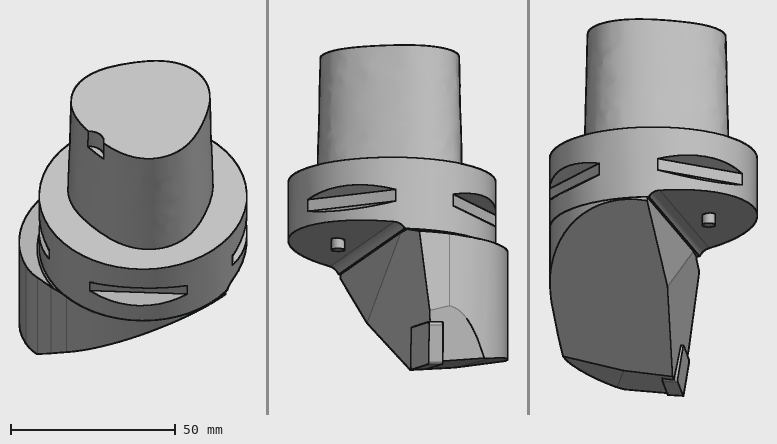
import cadquery as cq
import math

FLANGE_RADIUS = 31.5
FLANGE_BOTTOM = -22.1

SHANK_LENGTH = 38.0
SHANK_BASE_RADIUS = 21.7
SHANK_TAPER = 1 / 40
SHANK_LOBE = 1.4
SHANK_POINTS = 36

NOTCH_RADIUS = 4.3
NOTCH_DEPTH = 1.9
NOTCH_HEIGHT = 6.5

GROOVE_Z = -11.8
GROOVE_FLOOR_DISTANCE = 27.8
GROOVE_FLOOR_HALF_WIDTH = 1.8
GROOVE_FLANK_SLOPE = 0.54
GROOVE_ANGLES = (45, 135, 225, 315)

HEAD_LEFT = -38.4
HEAD_FRONT = -31.7
HEAD_BACK = 6.0
HEAD_RIGHT_RADIUS = 31.4
HEAD_CORNER_START = -5.0
HEAD_CORNER_MIDDLE = (-30.1, -23.4)
HEAD_CORNER_END = (-19.4, -30.5)
HEAD_FLAT_START = -12.9
HEAD_FLAT_END = -6.7
HEAD_DEPTH = 68
COLLAR_RADIUS = 32.1
COLLAR_BOTTOM = -22.7
SHOULDER_SLOPE = 0.3

RELIEF_EDGE_Z = -18.1
RELIEF_SLOPE = 0.09
RELIEF_FILLET = 4.1

NOZZLE_DIAMETER = 4.0
NOZZLE_Y = 17.3
NOZZLE_BOTTOM = -22.6

INSERT_TIP = (-35.1, 0.3, -65.0)
INSERT_NORMAL = (-0.1, 1, -0.11)
INSERT_EDGE = 12.9
INSERT_ANGLE = 100
INSERT_LEAN = 4.6
INSERT_THICKNESS = 4.7
INSERT_NOSE = 0.8

CUTTER_SIZE = 309


def half_space(point, normal):
    """Large block on the outer side of a plane; normal points away from kept material."""
    plane = cq.Plane(origin=point, normal=normal)
    return cq.Workplane(plane).rect(CUTTER_SIZE, CUTTER_SIZE).extrude(CUTTER_SIZE)


def shank_section(radius):
    """Points of a rounded three-lobed section with one lobe toward +Y."""
    points = []
    for i in range(SHANK_POINTS):
        angle = 2 * math.pi * i / SHANK_POINTS
        r = radius + SHANK_LOBE * math.cos(3 * (angle - math.pi / 2))
        points.append((r * math.cos(angle), r * math.sin(angle)))
    return points


def make_shank():
    top_radius = SHANK_BASE_RADIUS - SHANK_LENGTH * SHANK_TAPER
    shank = (
        cq.Workplane("XY")
        .spline(shank_section(SHANK_BASE_RADIUS), periodic=True).close()
        .workplane(offset=SHANK_LENGTH)
        .spline(shank_section(top_radius), periodic=True).close()
        .loft(ruled=True)
    )
    notch_y = -(top_radius - SHANK_LOBE) + NOTCH_DEPTH - NOTCH_RADIUS
    notch = (
        cq.Workplane("XY", origin=(0, notch_y, SHANK_LENGTH - NOTCH_HEIGHT))
        .circle(NOTCH_RADIUS).extrude(NOTCH_HEIGHT)
    )
    return shank.cut(notch)


def make_groove(angle):
    """Chordal gripper groove with flaring flanks."""
    depth = FLANGE_RADIUS - GROOVE_FLOOR_DISTANCE
    outer_half_width = GROOVE_FLOOR_HALF_WIDTH + depth * GROOVE_FLANK_SLOPE
    return (
        cq.Workplane("XZ")
        .polyline([
            (GROOVE_FLOOR_DISTANCE, GROOVE_Z - GROOVE_FLOOR_HALF_WIDTH),
            (FLANGE_RADIUS, GROOVE_Z - outer_half_width),
            (FLANGE_RADIUS, GROOVE_Z + outer_half_width),
            (GROOVE_FLOOR_DISTANCE, GROOVE_Z + GROOVE_FLOOR_HALF_WIDTH),
        ]).close()
        .extrude(FLANGE_RADIUS, both=True)
        .rotate((0, 0, 0), (0, 0, 1), angle)
    )


def make_flange():
    flange = cq.Workplane("XY").circle(FLANGE_RADIUS).extrude(FLANGE_BOTTOM)
    for angle in GROOVE_ANGLES:
        flange = flange.cut(make_groove(angle))
    return flange


def head_blank():
    """Prism of the head outline below the flange, with a conical shoulder on top."""
    back_x = math.sqrt(HEAD_RIGHT_RADIUS ** 2 - HEAD_BACK ** 2)
    arc_x = HEAD_RIGHT_RADIUS * math.sqrt(0.5)
    prism = (
        cq.Workplane("XY", origin=(0, 0, -HEAD_DEPTH))
        .moveTo(HEAD_LEFT, HEAD_BACK)
        .lineTo(HEAD_LEFT, HEAD_CORNER_START)
        .threePointArc(HEAD_CORNER_MIDDLE, HEAD_CORNER_END)
        .tangentArcPoint((HEAD_FLAT_START, HEAD_FRONT), relative=False)
        .lineTo(HEAD_FLAT_END, HEAD_FRONT)
        .lineTo(0, -HEAD_RIGHT_RADIUS)
        .threePointArc((arc_x, -arc_x), (back_x, HEAD_BACK))
        .close()
        .extrude(HEAD_DEPTH + FLANGE_BOTTOM)
    )
    rim_radius = 2 * FLANGE_RADIUS
    rim_z = COLLAR_BOTTOM - (rim_radius - COLLAR_RADIUS) * SHOULDER_SLOPE
    shoulder = (
        cq.Workplane("XZ")
        .polyline([
            (0, FLANGE_BOTTOM), (FLANGE_RADIUS, FLANGE_BOTTOM),
            (COLLAR_RADIUS, COLLAR_BOTTOM), (rim_radius, rim_z),
            (rim_radius, -HEAD_DEPTH), (0, -HEAD_DEPTH),
        ]).close()
        .revolve(360, (0, 0, 0), (0, 1, 0))
    )
    return prism.intersect(shoulder)


def make_head():
    head = head_blank()
    head_planes = (
        ((FLANGE_RADIUS, 0, -22.6), (0.797, -0.05, -1)),
        ((HEAD_LEFT, 4.4, -24.7), (-0.09, 1, -0.135)),
        ((HEAD_LEFT, HEAD_CORNER_START, -47.1), (-1, -0.07, -0.22)),
        ((-33, -4.1, -63.5), (0.07, -0.154, -1)),
        ((-35, -18.3, -61.7), (0.1, -0.23, -1)),
    )
    for point, normal in head_planes:
        head = head.cut(half_space(point, normal))
    return head


def rear_relief():
    """Space behind the head that lifts and tilts the rear underside of the flange."""
    rear = FLANGE_RADIUS + RELIEF_FILLET
    rear_z = RELIEF_EDGE_Z + RELIEF_FILLET * RELIEF_SLOPE
    inner_z = RELIEF_EDGE_Z - (FLANGE_RADIUS - HEAD_BACK) * RELIEF_SLOPE
    return (
        cq.Workplane("YZ")
        .polyline([
            (rear, rear_z), (HEAD_BACK, inner_z),
            (HEAD_BACK, -HEAD_DEPTH), (rear, -HEAD_DEPTH),
        ]).close()
        .extrude(2 * FLANGE_RADIUS, both=True)
        .edges(cq.selectors.NearestToPointSelector((0, HEAD_BACK, inner_z)))
        .fillet(RELIEF_FILLET)
    )


def make_nozzle():
    return (
        cq.Workplane("XY", origin=(0, NOZZLE_Y, NOZZLE_BOTTOM))
        .circle(NOZZLE_DIAMETER / 2).extrude(GROOVE_Z - NOZZLE_BOTTOM)
    )


def make_insert():
    """Rhombic cutting plate lying against the leaning rake side."""
    normal = cq.Vector(*INSERT_NORMAL)
    lean = math.radians(INSERT_LEAN)
    edge_dot = INSERT_NORMAL[0] * math.cos(lean) + INSERT_NORMAL[2] * math.sin(lean)
    edge_y = -edge_dot / INSERT_NORMAL[1]
    plane = cq.Plane(INSERT_TIP, (math.cos(lean), edge_y, math.sin(lean)), normal * -1)
    corner = math.radians(INSERT_ANGLE)
    side = (INSERT_EDGE * math.cos(corner), INSERT_EDGE * math.sin(corner))
    return (
        cq.Workplane(plane)
        .polyline([(0, 0), (INSERT_EDGE, 0), (INSERT_EDGE + side[0], side[1]), side]).close()
        .extrude(INSERT_THICKNESS)
        .edges(cq.selectors.ParallelDirSelector(normal)).fillet(INSERT_NOSE)
    )


insert = make_insert()
holder = make_flange().union(make_head()).cut(rear_relief())
holder = holder.union(make_shank()).union(make_nozzle()).cut(insert)

result = cq.Compound.makeCompound([holder.val(), insert.val()])